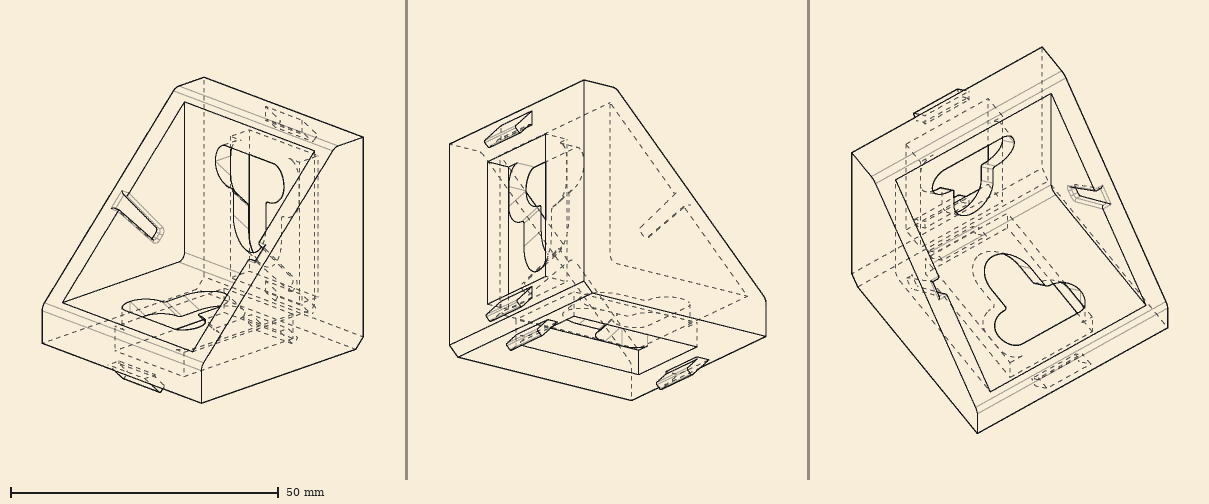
import cadquery as cq
import math


square_to_slope = cq.Vector(0, 1, -1)

width = 42.85
tab_overhang = 3.85
outer_size = 45.85
leg = outer_size - tab_overhang
leg_flat = 7.4
slope_fillet = 2.0
corner_chamfer = 1.95
slope_sum = leg + leg_flat

cavity_width = 35.0
leg_thickness = 8.85
cavity_fillet = 1.5

web_thickness = 4.0
arm_half_width = 9.2
arm_top = 34.85
arm_corner_radius = 2.75
arm_corner_height = arm_corner_radius * math.sqrt(2)
arm_mid = arm_top - arm_corner_height
lobe_radius = 4.2
stem_half_width = 4.4
stem_bottom = 15.35
stem_end_height = stem_half_width * math.sqrt(2)
recess_half_width = 9.25
recess_depth = leg_thickness - web_thickness
recess_bottom = stem_bottom - leg_thickness

groove_length = 13.3
groove_depth = 1.38
groove_mouth_width = 3.05
groove_end_width = 2.4
groove_corner_fillet = 0.7
groove_edge_fillet = 0.5

tab_width = 9.85
tab_tip_fillet = 0.3
tab_embed = 0.7
end_tab_top = 40.75
end_tab_bottom = 38.45
end_tab_root_drop = 0.5
corner_tab_top = 5.8
corner_tab_bottom = 3.6
corner_tab_overhang = 3.5


def on_both_legs(shape):
    """Return the shape together with its mirror image on the base leg."""
    return shape.union(shape.mirror(cq.Vector(0, 1, 1)))


def side_prism(points, prism_width):
    """Extrude a (y, z) outline symmetrically about the middle of the width."""
    return cq.Workplane("YZ").polyline(points).close().extrude(prism_width / 2, both=True)


def make_body():
    """Solid wedge with a chamfered back corner and rounded ends of the sloped face."""
    outline = [
        (0, corner_chamfer),
        (0, leg),
        (-leg_flat, leg),
        (-leg, leg_flat),
        (-leg, 0),
        (-corner_chamfer, 0),
    ]
    body = side_prism(outline, width)
    slope = body.faces(cq.selectors.DirectionMinMaxSelector(cq.Vector(0, -1, 1)))
    return slope.edges("|X").fillet(slope_fillet)


def make_cavity():
    """Triangular cavity with a fillet where the two legs meet."""
    reach = slope_sum - leg_thickness
    outline = [(-leg_thickness, leg_thickness), (-leg_thickness, reach), (-reach, leg_thickness)]
    cavity = side_prism(outline, cavity_width)
    return cavity.faces("<Z").edges(">Y").fillet(cavity_fillet)


def opening_profile():
    """T-shaped opening on the cavity side of the back leg."""
    lobe_center_x = arm_half_width - lobe_radius
    lobe_bottom = arm_mid - lobe_radius
    notch_radius = lobe_center_x - stem_half_width
    diagonal = math.sqrt(0.5)
    corner_x = arm_half_width - arm_corner_radius
    stem_end = stem_bottom + stem_end_height
    return (
        cq.Workplane("XZ", origin=(0, -leg_thickness, 0))
        .moveTo(-corner_x, arm_top)
        .lineTo(corner_x, arm_top)
        .ellipseArc(arm_corner_radius, arm_corner_height, 0, 90, sense=-1)
        .threePointArc(
            (lobe_center_x + lobe_radius * diagonal, arm_mid - lobe_radius * diagonal),
            (lobe_center_x, lobe_bottom),
        )
        .radiusArc((stem_half_width, lobe_bottom - notch_radius), -notch_radius)
        .lineTo(stem_half_width, stem_end)
        .ellipseArc(stem_half_width, stem_end_height, 180, 360, sense=-1)
        .lineTo(-stem_half_width, lobe_bottom - notch_radius)
        .radiusArc((-lobe_center_x, lobe_bottom), -notch_radius)
        .threePointArc(
            (-lobe_center_x - lobe_radius * diagonal, arm_mid - lobe_radius * diagonal),
            (-arm_half_width, arm_mid),
        )
        .ellipseArc(arm_corner_radius, arm_corner_height, 90, 180, sense=-1)
        .close()
    )


def make_arm_end_wedge():
    """Fill between the straight and the sloped sweep at the arm ends."""
    outline = [
        (-leg_thickness, arm_mid),
        (-recess_depth, arm_mid),
        (-recess_depth, arm_mid - web_thickness),
    ]
    return side_prism(outline, 2 * arm_half_width)


def make_opening():
    """Opening in the back leg, with the recess behind it.

    Its top runs straight back and its underside drops at 45 degrees.
    """
    wire = opening_profile().val()
    straight = cq.Solid.extrudeLinear(wire, [], cq.Vector(0, web_thickness, 0))
    sloped = cq.Solid.extrudeLinear(wire, [], cq.Vector(0, web_thickness, -web_thickness))
    recess_height = arm_top - recess_bottom
    recess = cq.Workplane("XY", origin=(0, 0, recess_bottom)).box(
        2 * recess_half_width, 2 * recess_depth, recess_height, centered=(True, True, False)
    )
    sweeps = cq.Workplane(straight).union(cq.Workplane(sloped))
    return sweeps.union(make_arm_end_wedge()).union(recess)


def make_groove():
    """Tapered groove in the +X cavity wall."""
    mouth_center = (cavity_width / 2, -slope_sum / 2, slope_sum / 2)
    wall = cq.Plane(origin=mouth_center, xDir=(0, -1, -1), normal=(1, 0, 0))
    half_mouth = groove_mouth_width / 2
    half_end = groove_end_width / 2
    outline = [(-half_mouth, 0), (half_mouth, 0), (half_end, groove_length), (-half_end, groove_length)]
    groove = cq.Workplane(wall).polyline(outline).close().extrude(groove_depth)
    end_face = groove.faces(cq.selectors.DirectionMinMaxSelector(square_to_slope))
    return end_face.edges("|X").fillet(groove_corner_fillet)


def edges_in_box(low, high):
    """Selector for edges lying wholly inside the box between two corners."""
    return cq.selectors.BoxSelector(low, high, boundingbox=True)


def cut_groove(bracket, groove):
    """Cut one groove, then round its edges on the cavity wall and on the sloped face."""
    box = groove.val().BoundingBox()
    side = math.copysign(1, box.center.x)
    wall_x = side * cavity_width / 2
    floor_x = wall_x + side * groove_depth
    gap = 0.005

    rim_edges = edges_in_box(
        (wall_x - gap, box.ymin - gap, box.zmin - gap), (wall_x + gap, box.ymax + gap, box.zmax + gap)
    )
    mouth_reach = groove_mouth_width / 2 * math.sqrt(0.5) + gap
    mouth_edges = edges_in_box(
        (min(wall_x, floor_x) - gap, -slope_sum / 2 - mouth_reach, slope_sum / 2 - mouth_reach),
        (max(wall_x, floor_x) + gap, -slope_sum / 2 + mouth_reach, slope_sum / 2 + mouth_reach),
    )
    return bracket.cut(groove).edges(rim_edges + mouth_edges).fillet(groove_edge_fillet)


def make_tab(top, bottom, overhang, root_drop=0.0):
    """Tab leaning down out of the back face, with its tip square to its length.

    top and bottom are the heights where its faces cross the back face.
    """
    tip_y = overhang + tab_tip_fillet * (math.sqrt(2) - 1)
    half_thickness = (top - bottom) / 2
    outline = [
        (-tab_embed, top + tab_embed),
        (tip_y, top - tip_y),
        (tip_y - half_thickness, bottom - tip_y + half_thickness),
        (root_drop, bottom - root_drop),
        (-tab_embed, bottom - root_drop),
    ]
    tab = side_prism(outline, tab_width)
    tip = tab.faces(cq.selectors.DirectionMinMaxSelector(square_to_slope))
    return tip.edges("|X").fillet(tab_tip_fillet)


end_tab = make_tab(end_tab_top, end_tab_bottom, tab_overhang, end_tab_root_drop)
corner_tab = make_tab(corner_tab_top, corner_tab_bottom, corner_tab_overhang)

result = make_body().cut(make_cavity())
groove = make_groove()
result = cut_groove(result, groove)
result = cut_groove(result, groove.mirror("YZ"))
result = result.cut(on_both_legs(make_opening()))
result = result.union(on_both_legs(end_tab)).union(on_both_legs(corner_tab))